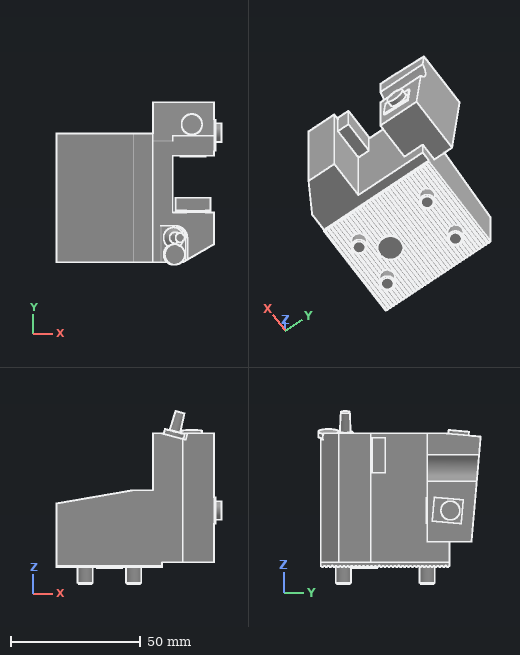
import cadquery as cq
import math


base_width = 50.05
base_length = 41.05
base_left_height = 24.8
ledge_start = 29.85
ledge_height = 30.0
wall_left = 37.4
wall_right = 45.15
jaw_right = 61.2
top_height = 52.05
wall_bottom = 1.95

tooth_count = 33
tooth_depth = 0.7

pin_diameter = 6.0
pin_tip_diameter = 4.8
pin_length = 6.45
pin_center_x = 20.6
pin_center_y = 25.1
pin_pitch_x = 18.8
pin_pitch_y = 32.45
thin_disc_diameter = 9.9
base_disc_y = 17.05
thin_disc_height = 0.3

jaw_depth = 19.4
chamfer_start = 48.95
chamfer_angle = 30.0
neck_diameter = 7.5
neck_x = 54.1
pad_x = 53.0
pad_size = 13.6
pad_top = 50.3
pad_thickness = 5.0
pad_gap = 0.75

head_tilt = 5.0
head_pivot_y = 47.1
head_back = 62.1
head_bottom = 9.9
head_button_x = 52.5
head_button_y = 53.45
rear_jaw_front = 41.3
rear_jaw_back = 49.0
notch_radius = 6.5
notch_x = 65.1
notch_z = 38.55

connector_z = 22.05
flange_width = 11.3
flange_height = 9.25
flange_thickness = 0.55
flange_y = 49.3
barrel_diameter = 7.3
barrel_y = 50.3
barrel_length = 2.4

pocket_left = 40.45
pocket_tilt = 15.0
pocket_length = 10.05
pocket_clearance = 6.7
pocket_width = 14.3
pocket_corner_radius = 4.8
button_diameter = 8.0
button_height = 2.0
head_button_height = 1.5
control_offset = 5.15
lever_y = 9.6
button_y = 3.1
dome_radius = button_diameter / 2
dome_height = 2.15
lever_root_radius = 2.15
lever_tip_radius = 1.8
lever_height = 9.8

overlap = 0.7


def box_between(x0, x1, y0, y1, z0, z1):
    return cq.Workplane("XY").box(x1 - x0, y1 - y0, z1 - z0, centered=False).translate((x0, y0, z0))


def cylinder(diameter, start, direction, length):
    solid = cq.Solid.makeCylinder(diameter / 2, length, cq.Vector(*start), cq.Vector(*direction))
    return cq.Workplane(solid)


def make_base():
    profile = [
        (0, 0),
        (base_length, 0),
        (base_length, wall_bottom),
        (wall_right, wall_bottom),
        (wall_right, top_height),
        (wall_left, top_height),
        (wall_left, ledge_height),
        (ledge_start, ledge_height),
        (0, base_left_height),
    ]
    base = cq.Workplane("XZ").polyline(profile).close().extrude(-base_width)
    wall_end = box_between(wall_left, wall_right, head_pivot_y, base_width, ledge_height, top_height)
    return base.cut(wall_end)


def make_serration_grooves():
    pitch = base_width / tooth_count
    grooves = cq.Workplane("YZ")
    for index in range(tooth_count + 1):
        root = index * pitch
        groove = [(root - pitch / 2, 0), (root, tooth_depth), (root + pitch / 2, 0)]
        grooves = grooves.polyline(groove).close()
    return grooves.extrude(base_length)


def make_front_jaw():
    chamfer_depth = (jaw_right - chamfer_start) * math.tan(math.radians(chamfer_angle))
    outline = [
        (wall_left, 0),
        (chamfer_start, 0),
        (jaw_right, chamfer_depth),
        (jaw_right, jaw_depth),
        (wall_left, jaw_depth),
    ]
    jaw = cq.Workplane("XY").workplane(offset=wall_bottom).polyline(outline).close()
    jaw = jaw.extrude(top_height - wall_bottom)
    pad_y = jaw_depth + pad_gap
    pad_center_z = pad_top - pad_size / 2
    neck_start = (neck_x, jaw_depth - overlap, pad_center_z)
    neck = cylinder(neck_diameter, neck_start, (0, 1, 0), pad_gap + 2 * overlap)
    pad = cq.Workplane("XY").box(pad_size, pad_thickness, pad_size)
    pad = pad.translate((pad_x, pad_y + pad_thickness / 2, pad_center_z))
    return jaw.union(neck).union(pad)


def make_rear_head():
    slope = math.tan(math.radians(head_tilt))
    back_top = top_height - (head_back - head_pivot_y) * slope
    back_bottom = head_back - (back_top - head_bottom) * slope
    profile = [
        (head_pivot_y, head_bottom),
        (back_bottom, head_bottom),
        (head_back, back_top),
        (head_pivot_y, top_height),
    ]
    head = cq.Workplane("YZ").workplane(offset=wall_left).polyline(profile).close()
    head = head.extrude(jaw_right - wall_left)
    rear_jaw = box_between(wall_right, jaw_right, rear_jaw_front, rear_jaw_back, head_bottom, top_height)
    notch_start = (notch_x, rear_jaw_front, notch_z)
    notch = cylinder(2 * notch_radius, notch_start, (0, 1, 0), head_back - rear_jaw_front)
    thin_disc = cylinder(
        thin_disc_diameter,
        (pad_x, rear_jaw_front - thin_disc_height, connector_z),
        (0, 1, 0),
        thin_disc_height + overlap,
    )
    up = (0, math.sin(math.radians(head_tilt)), math.cos(math.radians(head_tilt)))
    button_base = top_height - (head_button_y - head_pivot_y) * slope
    button_start = (head_button_x, head_button_y - overlap * up[1], button_base - overlap * up[2])
    button = cylinder(button_diameter, button_start, up, head_button_height + overlap)
    return head.union(rear_jaw).cut(notch).union(thin_disc).union(button)


def make_connector():
    flange = cq.Workplane("YZ").rect(flange_width, flange_height).extrude(flange_thickness + overlap)
    flange = flange.rotate((0, 0, 0), (1, 0, 0), -head_tilt)
    flange = flange.translate((jaw_right - overlap, flange_y, connector_z))
    barrel_start = (jaw_right - overlap, barrel_y, connector_z)
    barrel = cylinder(barrel_diameter, barrel_start, (1, 0, 0), overlap + flange_thickness + barrel_length)
    return flange.union(barrel)


def make_pins():
    pin_tip_chamfer = (pin_diameter - pin_tip_diameter) / 2
    pins = (
        cq.Workplane("XY")
        .center(pin_center_x, pin_center_y)
        .rect(pin_pitch_x, pin_pitch_y, forConstruction=True)
        .vertices()
        .circle(pin_diameter / 2)
        .extrude(-pin_length)
        .faces("<Z")
        .chamfer(pin_tip_chamfer)
    )
    stems = pins.union(pins.translate((0, 0, tooth_depth + overlap)))
    disc_start = (pin_center_x, base_disc_y, -thin_disc_height)
    disc_height = thin_disc_height + tooth_depth + overlap
    return stems.union(cylinder(thin_disc_diameter, disc_start, (0, 0, 1), disc_height))


def tilt_into_pocket(shape):
    """Move a shape modelled on a level floor at the origin onto the tilted pocket floor."""
    return shape.rotate((0, 0, 0), (0, 1, 0), pocket_tilt).translate((pocket_left, 0, top_height))


def make_pocket():
    pocket = box_between(0, pocket_length, -overlap, pocket_width, 0, pocket_clearance)
    return tilt_into_pocket(pocket.edges("|Z and >X and >Y").fillet(pocket_corner_radius))


def make_lever():
    drop = (dome_radius**2 - lever_root_radius**2 - dome_height**2) / (2 * dome_height)
    sphere_radius = math.hypot(dome_radius, drop)
    mid_height = dome_height / 2
    mid_radius = math.sqrt(sphere_radius**2 - (mid_height + drop) ** 2)
    lever = (
        cq.Workplane("XZ")
        .moveTo(0, -overlap)
        .lineTo(dome_radius, -overlap)
        .lineTo(dome_radius, 0)
        .threePointArc((mid_radius, mid_height), (lever_root_radius, dome_height))
        .lineTo(lever_tip_radius, lever_height)
        .lineTo(0, lever_height)
        .close()
        .revolve(360, (0, 0), (0, 1))
    )
    return tilt_into_pocket(lever.translate((control_offset, lever_y, 0)))


def make_pocket_button():
    button = cylinder(button_diameter, (control_offset, button_y, 0), (0, 0, 1), button_height)
    return tilt_into_pocket(button)


body = make_base().cut(make_serration_grooves())
body = body.union(make_front_jaw()).union(make_rear_head())
body = body.cut(make_pocket())
for added_part in (make_connector(), make_pins(), make_lever(), make_pocket_button()):
    body = body.union(added_part)

result = body